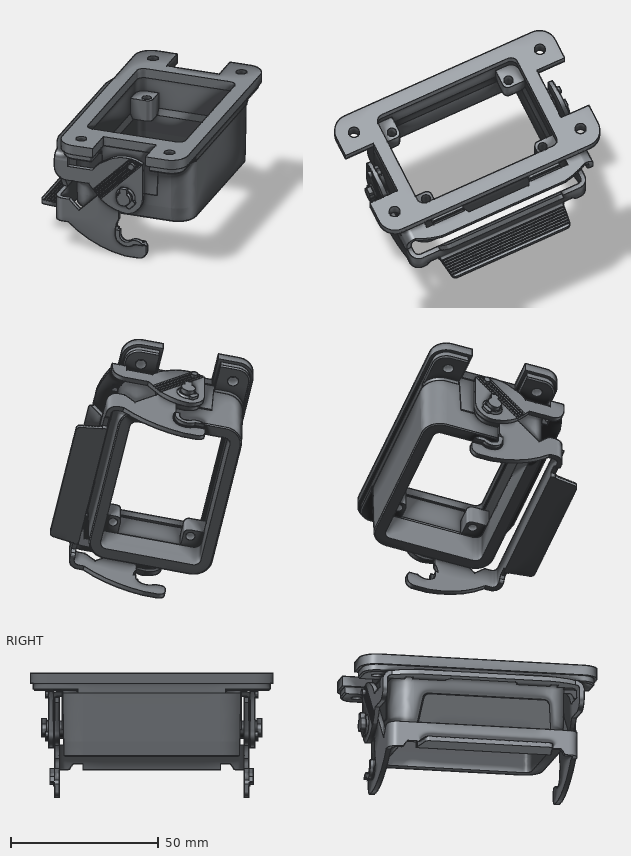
import cadquery as cq
import math


FLANGE_X = 45.6
FLANGE_Y = 82.5
FLANGE_T = 3.4
FLANGE_R = 6.0
NOTCH_HALF_X = 9.55
NOTCH_FLOOR_Y = 30.8
STEP_INSET = 1.0
STEP_BOTTOM = -5.8
STEP_CHAMFER = 0.5
STEP_NOTCH_HALF_X = 10.6
SKIRT_Y = 25.0
SKIRT_BOTTOM = -6.7
MOUNT_X = 16.0
MOUNT_Y = 35.0
MOUNT_D = 3.7

BODY_X = 43.5
BODY_Y = 60.4
BODY_R = 7.0
BODY_SEAM_Z = -23.3
BODY_BOTTOM = -28.3
BODY_DRAFT = 0.8
BODY_LOWER_DRAFT = 2.0
BODY_CHAMFER = 0.4
FLARE_H = 0.9
FLARE_W = 0.5
PAD_Y = 30.4
PAD_TOP_HALF_X = 10.4
PAD_BOTTOM_HALF_X = 9.65
PAD_BOTTOM = -19.15

MOUTH_X = 35.4
MOUTH_Y = 52.4
CAVITY_R = 2.5
CAVITY_WIDEN = 0.8
LEDGE_TOP = -14.4
LEDGE_BOTTOM = -16.6
EXIT_X = 35.0
EXIT_Y = 51.7
EXIT_DRAFT = 1.2
POST_X = 10.95
POST_Y = 19.5
POST_TOP = -8.7
POST_BOTTOM = -16.3
POST_R = 1.8
POST_HOLE_X = 13.45
POST_HOLE_Y = 21.95
POST_HOLE_D = 3.1

SHEET_T = 1.6
PIVOT_Z = -19.2

BAIL_Y = 35.0
BAIL_R = 6.1
BAIL_TOP = -6.25
BAIL_BEND_R = 3.1
BAIL_BACK_X = -25.8
BAIL_SHOULDER_X = -21.0
BAIL_NOSE_X = -28.7
BAIL_NOSE_Y = 23.2
BAIL_CHEEK_X = -27.6
BAIL_CHEEK_Y = 27.6
BAIL_ARM_TOP = -11.1
BAIL_ARM_BOTTOM = -16.25
BAIL_ARM_R = 4.4
BAIL_ELBOW_X = -13.4
BAIL_ELBOW_END = (-9.4, -21.0)
BAIL_BELLY_MID = (-5.2, -23.9)
BAIL_CROWN = (0, -4.65)
BAIL_CROWN_END = (-7.2, -7.0)
BAIL_NECK_MID = (-10.0, -8.75)
BAIL_NECK_X = -12.0
BAIL_WINDOW_X = -24.85
BAIL_WINDOW_Y = 12.4
WINDOW_BEVEL_X = 1.2
WINDOW_BEVEL_Y = 1.9
TAB_Y0 = BAIL_WINDOW_Y
TAB_Y1 = 23.9
TAB_X = -23.2
TAB_TOP = -4.65
TAB_FOOT_X = -23.8
TAB_FOOT_TOP = -5.8
TAB_R = 0.9
RELIEF_X = -23.8
RELIEF_Y = 26.5
GROOVE_COUNT = 4
GROOVE_PITCH = 1.15
GROOVE_W = 0.8
GROOVE_DEPTH = 0.25
GROOVE_BAND_X = 0.9
GROOVE_BAND_Z = -8.5
GROOVE_ANGLE = 45
GROOVE_LENGTH = 40.0
LUG_X = 2.35
LUG_Z = -7.25
LUG_D = 2.3
LUG_Y = 36.15

LEVER_Y = 32.95
LEVER_BACK_X = -26.85
LEVER_BEND_R = 3.4
LEVER_BAR_TOP = -24.3
LEVER_BAR_BOTTOM = -32.8
LEVER_BAR_ARCH_Z = -30.8
LEVER_ARCH_Y = 26.6
LEVER_FOOT_Y = 28.4
ARCH_SAG = 0.15
LEVER_HUB_R = 5.3
LEVER_TOP = -8.0
LUG_SEAT_D = 2.4
VEE_START_X = -21.2
VEE_BOTTOM = (-17.6, -27.9)
ARM_RISE = 14.5
ARM_SHOULDER_MID = (-1.7, -10.3)
ARM_TOP_X0 = 0.6
ARM_TOP_X1 = 3.3
WEB_X = -3.3
WEB_BOTTOM = -29.0
WEB_END_MID = (-4.0, -30.5)
KEEL_START_X = -0.8
KEEL_MID = (-11.9, -39.1)
KEEL_END_X = -21.5
HOOK_Z = -33.9
HOOK_R = 2.35
HOOK_LIP_R = 3.95
HOOK_BASE_R = 4.35
HOOK_BASE_H = 0.4
HOOK_RECESS_R = 3.5
HOOK_TAIL_X = 3.0
HOOK_TAIL_RISE = 1.15
HOOK_TAIL_MID_X = 1.65
HOOK_TAIL_MID_DROP = 0.9
HOOK_LIP_TOP = -32.3
HOOK_LIP_Y = 34.55
HOOK_TIP_X = 6.75
HOOK_TIP_TOP = -37.6
HOOK_TIP_BOTTOM = -39.7
HOOK_BOTTOM = -42.27
HOOK_SADDLE_MID = (1.0, -36.0)
HOOK_SADDLE_END = (1.9, -35.5)
HOOK_CREST = (3.8, -35.15)
HOOK_CREST_END = (6.2, -36.6)
HOOK_TOE_MID = (6.1, -41.3)
HOOK_TOE_X = 4.3

HANDLE_X = -35.45
HANDLE_TIP_Y = 22.0
HANDLE_ROOT_Y = 23.4
HANDLE_R = 1.5
RIB_GROOVE_COUNT = 7
RIB_GROOVE_PITCH = 1.0
RIB_GROOVE_FIRST_X = -34.25
RIB_GROOVE_DEPTH = 0.22
FLAP_LENGTH = 10.6
FLAP_ANGLE = 23.5
FLAP_X = -25.35
FLAP_TOP_Y = 21.6
FLAP_ROOT_Y = 23.3
FLAP_R = 1.8

SHAFT_R = 3.0
COLLAR_R = 3.5
COLLAR_TOP_R = 2.9
COLLAR_Y = 35.7
HEAD_R = 2.4
HEAD_Y = 37.4
KEY_HALF_X = 1.25
KEY_TOP = -15.3
BUMP_DISTANCE = 3.1
BUMP_LENGTH = 3.6
BUMP_W = 1.9
BUMP_ANGLE = 45
BUMP_Y = 36.0

DIAGONAL = math.sqrt(0.5)


def rounded_block(size_x, size_y, radius, top, bottom, taper=0.0):
    """Centred rounded rectangle extruded down from top, narrowing by the taper angle."""
    outline = cq.Sketch().rect(size_x, size_y).vertices().fillet(radius)
    height = top - bottom
    return cq.Workplane("XY", origin=(0, 0, top)).placeSketch(outline).extrude(-height, taper=taper)


def box_between(x0, x1, y0, y1, z0, z1):
    return cq.Workplane("XY").box(x1 - x0, y1 - y0, z1 - z0, centered=False).translate((x0, y0, z0))


def side_plane(y):
    """X-Z sketch plane on the -Y side; positive extrusion runs outward."""
    return cq.Workplane("XZ", origin=(0, -y, 0))


def both_sides(solid):
    return solid.union(solid.mirror("XZ"))


def make_flange():
    flange = rounded_block(FLANGE_X, FLANGE_Y, FLANGE_R, 0, -FLANGE_T)
    step_x = FLANGE_X - 2 * STEP_INSET
    step_y = FLANGE_Y - 2 * STEP_INSET
    step = rounded_block(step_x, step_y, FLANGE_R - STEP_INSET, -FLANGE_T, STEP_BOTTOM)
    step = step.faces("<Z").chamfer(STEP_CHAMFER)
    outer_y = FLANGE_Y / 2
    for side in (-1, 1):
        y0, y1 = sorted((side * NOTCH_FLOOR_Y, side * outer_y))
        flange = flange.cut(box_between(-NOTCH_HALF_X, NOTCH_HALF_X, y0, y1, -FLANGE_T, 0))
        pad0, pad1 = sorted((side * PAD_Y, side * outer_y))
        step = step.cut(
            box_between(-STEP_NOTCH_HALF_X, STEP_NOTCH_HALF_X, pad0, pad1, STEP_BOTTOM, -FLANGE_T)
        )
    holes = (
        cq.Workplane("XY")
        .rect(2 * MOUNT_X, 2 * MOUNT_Y, forConstruction=True)
        .vertices()
        .circle(MOUNT_D / 2)
        .extrude(STEP_BOTTOM)
    )
    skirt = box_between(-step_x / 2, step_x / 2, -SKIRT_Y, SKIRT_Y, SKIRT_BOTTOM, -FLANGE_T)
    return flange.union(step).union(skirt).cut(holes)


def make_flare():
    """Sloped transition between the step underside and the body corners."""
    taper = math.degrees(math.atan(FLARE_W / FLARE_H))
    flare = rounded_block(
        BODY_X + 2 * FLARE_W,
        BODY_Y + 2 * FLARE_W,
        BODY_R + FLARE_W,
        STEP_BOTTOM,
        STEP_BOTTOM - FLARE_H,
        taper,
    )
    limit = box_between(
        -BODY_X / 2, BODY_X / 2, -FLANGE_Y / 2, FLANGE_Y / 2, STEP_BOTTOM - FLARE_H, STEP_BOTTOM
    )
    notch = box_between(
        -STEP_NOTCH_HALF_X,
        STEP_NOTCH_HALF_X,
        -FLANGE_Y / 2,
        FLANGE_Y / 2,
        STEP_BOTTOM - FLARE_H,
        STEP_BOTTOM,
    )
    return flare.intersect(limit).cut(notch)


def make_body():
    upper = rounded_block(BODY_X, BODY_Y, BODY_R, -FLANGE_T, BODY_SEAM_Z, BODY_DRAFT)
    shrink = (-FLANGE_T - BODY_SEAM_Z) * math.tan(math.radians(BODY_DRAFT))
    lower = rounded_block(
        BODY_X - 2 * shrink,
        BODY_Y - 2 * shrink,
        BODY_R - shrink,
        BODY_SEAM_Z,
        BODY_BOTTOM,
        BODY_LOWER_DRAFT,
    )
    lower = lower.faces("<Z").chamfer(BODY_CHAMFER)
    pad = (
        cq.Workplane("XZ")
        .polyline(
            [
                (-PAD_TOP_HALF_X, -FLANGE_T),
                (PAD_TOP_HALF_X, -FLANGE_T),
                (PAD_BOTTOM_HALF_X, PAD_BOTTOM),
                (-PAD_BOTTOM_HALF_X, PAD_BOTTOM),
            ]
        )
        .close()
        .extrude(PAD_Y, both=True)
    )
    return upper.union(lower).union(pad).union(make_flare())


def make_cavity():
    """Through opening: mouth, wider chamber, sloped ledge and narrower exit."""
    chamber_x = MOUTH_X + 2 * CAVITY_WIDEN
    chamber_y = MOUTH_Y + 2 * CAVITY_WIDEN
    chamber_r = CAVITY_R + CAVITY_WIDEN
    mouth = rounded_block(MOUTH_X, MOUTH_Y, CAVITY_R, 0, -FLANGE_T)
    chamber = rounded_block(chamber_x, chamber_y, chamber_r, -FLANGE_T, LEDGE_TOP)
    chamber_outline = cq.Sketch().rect(chamber_x, chamber_y).vertices().fillet(chamber_r)
    exit_outline = cq.Sketch().rect(EXIT_X, EXIT_Y).vertices().fillet(CAVITY_R)
    ledge = (
        cq.Workplane("XY")
        .placeSketch(
            chamber_outline.moved(cq.Location(cq.Vector(0, 0, LEDGE_TOP))),
            exit_outline.moved(cq.Location(cq.Vector(0, 0, LEDGE_BOTTOM))),
        )
        .loft()
    )
    outlet = rounded_block(EXIT_X, EXIT_Y, CAVITY_R, LEDGE_BOTTOM, BODY_SEAM_Z)
    outlet_end = rounded_block(EXIT_X, EXIT_Y, CAVITY_R, BODY_SEAM_Z, BODY_BOTTOM, EXIT_DRAFT)
    return mouth.union(chamber).union(ledge).union(outlet).union(outlet_end)


def add_posts(housing):
    """Screw posts in the four cavity corners."""
    reach_x = MOUTH_X / 2 + 2 * CAVITY_WIDEN
    reach_y = MOUTH_Y / 2 + 2 * CAVITY_WIDEN
    for side_x in (-1, 1):
        for side_y in (-1, 1):
            x0, x1 = sorted((side_x * POST_X, side_x * reach_x))
            y0, y1 = sorted((side_y * POST_Y, side_y * reach_y))
            inner_x = "<X" if side_x > 0 else ">X"
            inner_y = "<Y" if side_y > 0 else ">Y"
            post = box_between(x0, x1, y0, y1, POST_BOTTOM, POST_TOP)
            post = post.faces(inner_x).edges("|Z").edges(inner_y).fillet(POST_R)
            hole = (
                cq.Workplane("XY", origin=(side_x * POST_HOLE_X, side_y * POST_HOLE_Y, POST_BOTTOM))
                .circle(POST_HOLE_D / 2)
                .extrude(POST_TOP - POST_BOTTOM)
            )
            housing = housing.union(post).cut(hole)
    return housing


def make_bail_side():
    """Side plate of the bail on the -Y side, with its diagonal grooves and lug."""
    plate = (
        side_plane(BAIL_Y - SHEET_T)
        .moveTo(BAIL_BACK_X, BAIL_TOP - BAIL_BEND_R)
        .lineTo(BAIL_BACK_X, BAIL_ARM_BOTTOM + BAIL_ARM_R)
        .threePointArc(
            (
                BAIL_BACK_X + BAIL_ARM_R * (1 - DIAGONAL),
                BAIL_ARM_BOTTOM + BAIL_ARM_R * (1 - DIAGONAL),
            ),
            (BAIL_BACK_X + BAIL_ARM_R, BAIL_ARM_BOTTOM),
        )
        .lineTo(BAIL_ELBOW_X, BAIL_ARM_BOTTOM)
        .lineTo(*BAIL_ELBOW_END)
        .threePointArc(BAIL_BELLY_MID, (0, PIVOT_Z - BAIL_R))
        .threePointArc((BAIL_R * DIAGONAL, PIVOT_Z - BAIL_R * DIAGONAL), (BAIL_R, PIVOT_Z))
        .lineTo(BAIL_R, BAIL_TOP)
        .threePointArc(BAIL_CROWN, BAIL_CROWN_END)
        .threePointArc(BAIL_NECK_MID, (BAIL_NECK_X, BAIL_ARM_TOP))
        .lineTo(BAIL_SHOULDER_X, BAIL_ARM_TOP)
        .lineTo(BAIL_SHOULDER_X, BAIL_TOP - BAIL_BEND_R)
        .close()
        .extrude(SHEET_T)
    )
    groove = (
        cq.Workplane("XY")
        .polyline([(-GROOVE_W / 2, 0), (GROOVE_W / 2, 0), (0, GROOVE_DEPTH)])
        .close()
        .extrude(GROOVE_LENGTH / 2, both=True)
        .rotate((0, 0, 0), (0, 1, 0), GROOVE_ANGLE)
    )
    for index in range(GROOVE_COUNT):
        shift = (index - (GROOVE_COUNT - 1) / 2) * GROOVE_PITCH * DIAGONAL
        center = (GROOVE_BAND_X + shift, -BAIL_Y, GROOVE_BAND_Z - shift)
        plate = plate.cut(groove.translate(center))
    lug_height = LUG_Y - BAIL_Y + SHEET_T / 2
    lug = side_plane(BAIL_Y - SHEET_T / 2).center(LUG_X, LUG_Z).circle(LUG_D / 2).extrude(lug_height)
    return plate.union(lug)


def make_bail_bend():
    """Bent strip that joins both side plates to the top bar."""
    depth = 2 * BAIL_BEND_R
    center_z = BAIL_TOP - depth / 2
    width = BAIL_SHOULDER_X - BAIL_BACK_X
    start = cq.Workplane("YZ", origin=(BAIL_BACK_X, 0, center_z))
    outer = start.rect(2 * BAIL_Y, depth).extrude(width)
    outer = outer.edges("|X").edges(">Z").fillet(BAIL_BEND_R)
    inner = start.rect(2 * (BAIL_Y - SHEET_T), depth).extrude(width)
    inner = inner.edges("|X").edges(">Z").fillet(BAIL_BEND_R - SHEET_T).translate((0, 0, -SHEET_T))
    lower_end = box_between(
        BAIL_BACK_X,
        BAIL_SHOULDER_X,
        -BAIL_Y,
        BAIL_Y,
        BAIL_TOP - depth,
        BAIL_TOP - BAIL_BEND_R,
    )
    return outer.cut(inner).cut(lower_end)


def make_bail_bar():
    """Flat top bar of the bail with curved ends."""
    bar_end_y = BAIL_Y - BAIL_BEND_R
    bar_bottom = BAIL_TOP - SHEET_T
    return (
        cq.Workplane("XY", origin=(0, 0, bar_bottom))
        .moveTo(BAIL_SHOULDER_X, -bar_end_y)
        .lineTo(BAIL_BACK_X, -bar_end_y)
        .threePointArc((BAIL_CHEEK_X, -BAIL_CHEEK_Y), (BAIL_NOSE_X, -BAIL_NOSE_Y))
        .lineTo(BAIL_NOSE_X, BAIL_NOSE_Y)
        .threePointArc((BAIL_CHEEK_X, BAIL_CHEEK_Y), (BAIL_BACK_X, bar_end_y))
        .lineTo(BAIL_SHOULDER_X, bar_end_y)
        .close()
        .extrude(SHEET_T)
    )


def make_bail_top():
    """Bar and bends, opened by the window and the reliefs, with the upright tabs added."""
    bar_bottom = BAIL_TOP - SHEET_T
    top = make_bail_bend().union(make_bail_bar())
    window = box_between(
        BAIL_WINDOW_X, BAIL_SHOULDER_X, -BAIL_WINDOW_Y, BAIL_WINDOW_Y, bar_bottom, BAIL_TOP
    )
    window = window.edges("|Z").edges("<X").chamfer(WINDOW_BEVEL_X, WINDOW_BEVEL_Y)
    top = top.cut(window)
    for side in (-1, 1):
        y0, y1 = sorted((side * TAB_Y1, side * RELIEF_Y))
        top = top.cut(box_between(RELIEF_X, BAIL_SHOULDER_X, y0, y1, bar_bottom, BAIL_TOP))
        y0, y1 = sorted((side * TAB_Y0, side * TAB_Y1))
        tab = box_between(TAB_X, TAB_X + SHEET_T, y0, y1, bar_bottom, TAB_TOP)
        tab = tab.edges("|X").edges(">Z").fillet(TAB_R)
        foot = box_between(TAB_FOOT_X, TAB_X, y0, y1, bar_bottom, TAB_FOOT_TOP)
        foot = foot.edges("|Y").edges("<X").edges(">Z").chamfer(TAB_FOOT_TOP - BAIL_TOP)
        top = top.union(tab).union(foot)
    return top


def lever_outline(y):
    """Closed side profile of the lever, from the hub down to the hook."""
    return (
        side_plane(y)
        .moveTo(LEVER_BACK_X + LEVER_BEND_R, LEVER_BAR_TOP)
        .lineTo(VEE_START_X, LEVER_BAR_TOP)
        .lineTo(*VEE_BOTTOM)
        .lineTo(VEE_BOTTOM[0] + ARM_RISE, VEE_BOTTOM[1] + ARM_RISE)
        .threePointArc(ARM_SHOULDER_MID, (ARM_TOP_X0, LEVER_TOP))
        .lineTo(ARM_TOP_X1, LEVER_TOP)
        .lineTo(LEVER_HUB_R, LEVER_TOP - (LEVER_HUB_R - ARM_TOP_X1))
        .lineTo(LEVER_HUB_R, PIVOT_Z)
        .threePointArc(
            (LEVER_HUB_R * DIAGONAL, PIVOT_Z - LEVER_HUB_R * DIAGONAL), (0, PIVOT_Z - LEVER_HUB_R)
        )
        .lineTo(WEB_X, PIVOT_Z - LEVER_HUB_R)
        .lineTo(WEB_X, WEB_BOTTOM)
        .threePointArc(WEB_END_MID, (-HOOK_BASE_R, HOOK_LIP_TOP))
        .lineTo(-HOOK_R, HOOK_LIP_TOP)
        .lineTo(-HOOK_R, HOOK_Z)
        .threePointArc((-HOOK_R * DIAGONAL, HOOK_Z - HOOK_R * DIAGONAL), (0, HOOK_Z - HOOK_R))
        .threePointArc(HOOK_SADDLE_MID, HOOK_SADDLE_END)
        .threePointArc(HOOK_CREST, HOOK_CREST_END)
        .lineTo(HOOK_TIP_X, HOOK_TIP_TOP)
        .lineTo(HOOK_TIP_X, HOOK_TIP_BOTTOM)
        .threePointArc(HOOK_TOE_MID, (HOOK_TOE_X, HOOK_BOTTOM))
        .lineTo(KEEL_START_X, HOOK_BOTTOM)
        .threePointArc(KEEL_MID, (KEEL_END_X, LEVER_BAR_BOTTOM))
        .lineTo(LEVER_BACK_X + LEVER_BEND_R, LEVER_BAR_BOTTOM)
        .close()
    )


def hook_band(radius, y, height):
    """Block above the hook's lip line, whose rounded lower edge has the given radius."""
    tail_z = HOOK_Z - radius + HOOK_TAIL_RISE
    return (
        side_plane(y)
        .moveTo(-radius, HOOK_LIP_TOP)
        .lineTo(HOOK_TIP_X, HOOK_LIP_TOP)
        .lineTo(HOOK_TIP_X, tail_z)
        .lineTo(HOOK_TAIL_X, tail_z)
        .threePointArc((HOOK_TAIL_MID_X, tail_z - HOOK_TAIL_MID_DROP), (0, HOOK_Z - radius))
        .threePointArc((-radius * DIAGONAL, HOOK_Z - radius * DIAGONAL), (-radius, HOOK_Z))
        .close()
        .extrude(height)
    )


def make_lever_side():
    """Lever side plate on the -Y side, its hook pressed outward into a raised lip."""
    plate = lever_outline(LEVER_Y - SHEET_T).extrude(SHEET_T)
    lip_height = HOOK_LIP_Y - LEVER_Y
    lip = lever_outline(LEVER_Y).extrude(lip_height).intersect(hook_band(HOOK_LIP_R, LEVER_Y, lip_height))
    lip_base = (
        lever_outline(LEVER_Y)
        .extrude(HOOK_BASE_H)
        .intersect(hook_band(HOOK_BASE_R, LEVER_Y, HOOK_BASE_H))
    )
    recess = hook_band(HOOK_RECESS_R, LEVER_Y - SHEET_T, SHEET_T)
    lug_seat = (
        side_plane(LEVER_Y - SHEET_T)
        .center(LUG_X, LEVER_TOP)
        .circle(LUG_SEAT_D / 2)
        .extrude(SHEET_T)
    )
    return plate.cut(recess).cut(lug_seat).union(lip_base).union(lip)


def make_lever_bar():
    """Bent cross bar of the lever with an arched lower edge."""
    height = LEVER_BAR_TOP - LEVER_BAR_BOTTOM
    depth = 2 * LEVER_BEND_R
    start = cq.Workplane("XY", origin=(LEVER_BACK_X + depth / 2, 0, LEVER_BAR_BOTTOM))
    outer = start.rect(depth, 2 * LEVER_Y).extrude(height)
    outer = outer.edges("|Z").edges("<X").fillet(LEVER_BEND_R)
    inner = start.rect(depth, 2 * (LEVER_Y - SHEET_T)).extrude(height)
    inner = inner.edges("|Z").edges("<X").fillet(LEVER_BEND_R - SHEET_T).translate((SHEET_T, 0, 0))
    open_end = box_between(
        LEVER_BACK_X + LEVER_BEND_R,
        LEVER_BACK_X + depth,
        -LEVER_Y,
        LEVER_Y,
        LEVER_BAR_BOTTOM,
        LEVER_BAR_TOP,
    )
    middle_y = (LEVER_ARCH_Y + LEVER_FOOT_Y) / 2
    middle_z = (LEVER_BAR_ARCH_Z + LEVER_BAR_BOTTOM) / 2
    arch = (
        cq.Workplane("YZ", origin=(LEVER_BACK_X, 0, 0))
        .moveTo(-LEVER_FOOT_Y, LEVER_BAR_BOTTOM)
        .threePointArc(
            (-(middle_y + LEVER_FOOT_Y) / 2 + ARCH_SAG, (middle_z + LEVER_BAR_BOTTOM) / 2 - ARCH_SAG),
            (-middle_y, middle_z),
        )
        .lineTo(-LEVER_ARCH_Y, LEVER_BAR_ARCH_Z)
        .lineTo(LEVER_ARCH_Y, LEVER_BAR_ARCH_Z)
        .lineTo(middle_y, middle_z)
        .threePointArc(
            ((middle_y + LEVER_FOOT_Y) / 2 - ARCH_SAG, (middle_z + LEVER_BAR_BOTTOM) / 2 - ARCH_SAG),
            (LEVER_FOOT_Y, LEVER_BAR_BOTTOM),
        )
        .close()
        .extrude(SHEET_T)
    )
    return outer.cut(inner).cut(open_end).cut(arch)


def make_handle():
    """Ribbed grip plate bent outward from the lower edge of the cross bar."""
    root_x = LEVER_BACK_X + SHEET_T
    handle_top = LEVER_BAR_BOTTOM + SHEET_T
    grip = (
        cq.Workplane("XY", origin=(0, 0, LEVER_BAR_BOTTOM))
        .polyline(
            [
                (HANDLE_X, -HANDLE_TIP_Y),
                (HANDLE_X, HANDLE_TIP_Y),
                (root_x, HANDLE_ROOT_Y),
                (root_x, -HANDLE_ROOT_Y),
            ]
        )
        .close()
        .extrude(SHEET_T)
    )
    grip = grip.edges("|Z").edges("<X").fillet(HANDLE_R)
    for index in range(RIB_GROOVE_COUNT):
        x = RIB_GROOVE_FIRST_X + index * RIB_GROOVE_PITCH
        groove = (
            cq.Workplane("XZ")
            .polyline(
                [
                    (x - RIB_GROOVE_DEPTH, handle_top),
                    (x + RIB_GROOVE_DEPTH, handle_top),
                    (x, handle_top - RIB_GROOVE_DEPTH),
                ]
            )
            .close()
            .extrude(HANDLE_ROOT_Y, both=True)
        )
        grip = grip.cut(groove)
    bend = box_between(
        LEVER_BACK_X, root_x, -HANDLE_ROOT_Y, HANDLE_ROOT_Y, LEVER_BAR_BOTTOM, LEVER_BAR_ARCH_Z
    )
    root_fillet = LEVER_BAR_ARCH_Z - handle_top
    corner = (
        cq.Workplane("XZ")
        .moveTo(LEVER_BACK_X, handle_top)
        .lineTo(LEVER_BACK_X, LEVER_BAR_ARCH_Z)
        .radiusArc((LEVER_BACK_X - root_fillet, handle_top), root_fillet)
        .close()
        .extrude(HANDLE_ROOT_Y, both=True)
    )
    return grip.union(bend).union(corner)


def make_flap():
    """Tapered finger flap leaning outward from the upper edge of the cross bar."""
    lean = math.radians(FLAP_ANGLE)
    plane = cq.Plane(
        origin=(FLAP_X, 0, LEVER_BAR_TOP),
        xDir=(0, -1, 0),
        normal=(-math.cos(lean), 0, -math.sin(lean)),
    )
    flap = (
        cq.Workplane(plane)
        .polyline(
            [
                (-FLAP_ROOT_Y, -SHEET_T),
                (FLAP_ROOT_Y, -SHEET_T),
                (FLAP_TOP_Y, FLAP_LENGTH),
                (-FLAP_TOP_Y, FLAP_LENGTH),
            ]
        )
        .close()
        .extrude(SHEET_T)
    )
    thickness_edges = cq.selectors.ParallelDirSelector(plane.zDir)
    flap = flap.edges(thickness_edges).edges(">Z").fillet(FLAP_R)
    return flap.intersect(
        box_between(
            HANDLE_X, FLAP_X, -FLAP_ROOT_Y, FLAP_ROOT_Y, LEVER_BAR_TOP, LEVER_BAR_TOP + FLAP_LENGTH
        )
    )


def make_pin():
    """Pivot pin on the -Y side: shaft, conical collar, keyed head and stop bump."""
    shaft_start = MOUTH_Y / 2 + 2 * CAVITY_WIDEN
    shaft = (
        side_plane(shaft_start).center(0, PIVOT_Z).circle(SHAFT_R).extrude(BAIL_Y - shaft_start)
    )
    collar = (
        side_plane(BAIL_Y)
        .center(0, PIVOT_Z)
        .circle(COLLAR_R)
        .workplane(offset=COLLAR_Y - BAIL_Y)
        .circle(COLLAR_TOP_R)
        .loft()
    )
    head = side_plane(COLLAR_Y).center(0, PIVOT_Z).circle(HEAD_R).extrude(HEAD_Y - COLLAR_Y)
    key = box_between(-KEY_HALF_X, KEY_HALF_X, -HEAD_Y, -COLLAR_Y, PIVOT_Z, KEY_TOP)
    offset = BUMP_DISTANCE * DIAGONAL
    bump = (
        side_plane(BAIL_Y)
        .center(offset, PIVOT_Z - offset)
        .slot2D(BUMP_LENGTH, BUMP_W, BUMP_ANGLE)
        .extrude(BUMP_Y - BAIL_Y)
    )
    return shaft.union(collar).union(head).union(key).union(bump)


housing = make_flange().union(make_body()).cut(make_cavity())
housing = add_posts(housing)
bail = make_bail_top().union(both_sides(make_bail_side()))
lever = make_lever_bar().union(both_sides(make_lever_side())).union(make_handle()).union(make_flap())

result = housing.union(bail).union(lever).union(both_sides(make_pin()))